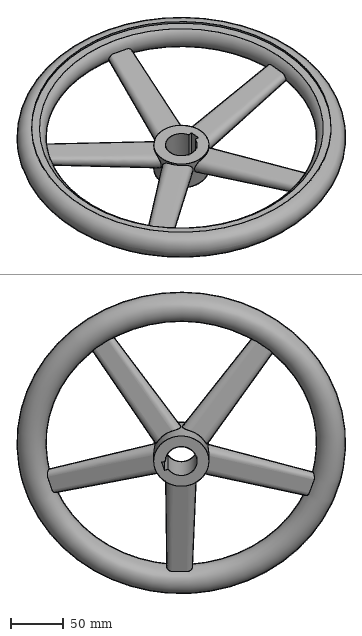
import cadquery as cq
import math

rim_radius = 157.5
rim_size = 28.0
shelf_depth = 2.2
rim_inner_radius = rim_radius - rim_size
rim_round = rim_size / 2

total_height = 56.0
hub_radius = 26.5
hub_height = 32.0
bore_radius = 15.0
keyway_width = 8.8
keyway_reach = 18.3

spoke_count = 5
spoke_flat_width = 14.5
hub_end_thickness = 15.5
rim_end_thickness = 10.0
hub_end_distance = 20.8
rim_end_distance = rim_inner_radius + 4.7
hub_end_height = 21.7
rim_end_height = 39.5

rim_center_radius = rim_radius - rim_round
rim_middle = total_height - rim_round


def make_rim():
    """Round-section ring with a flat shelf cut into the inner half of its top."""
    ring = (
        cq.Workplane("XZ")
        .center(rim_center_radius, rim_middle)
        .circle(rim_round)
        .revolve(360, (-rim_center_radius, 0, 0), (-rim_center_radius, 1, 0))
    )
    shelf = (
        cq.Workplane("XY")
        .workplane(offset=total_height - shelf_depth)
        .circle(rim_center_radius)
        .extrude(shelf_depth)
    )
    return ring.cut(shelf)


def make_spoke():
    """Spoke along +Y, lofted between two slot-shaped sections square to its axis."""
    run = rim_end_distance - hub_end_distance
    rise = rim_end_height - hub_end_height
    hub_end = cq.Plane(
        origin=(0, hub_end_distance, hub_end_height),
        xDir=(1, 0, 0),
        normal=(0, run, rise),
    )
    return (
        cq.Workplane(hub_end)
        .slot2D(spoke_flat_width + hub_end_thickness, hub_end_thickness)
        .workplane(offset=math.hypot(run, rise))
        .slot2D(spoke_flat_width + rim_end_thickness, rim_end_thickness)
        .loft(ruled=True)
    )


def make_bore():
    """Through bore with a keyway on the +Y side."""
    bore = cq.Workplane("XY").circle(bore_radius).extrude(total_height)
    keyway = (
        cq.Workplane("XY")
        .center(0, keyway_reach / 2)
        .rect(keyway_width, keyway_reach)
        .extrude(total_height)
    )
    return bore.union(keyway)


hub = cq.Workplane("XY").circle(hub_radius).extrude(hub_height)
wheel = make_rim().union(hub)
spoke = make_spoke()
for index in range(spoke_count):
    angle = index * 360 / spoke_count
    wheel = wheel.union(spoke.rotate((0, 0, 0), (0, 0, 1), angle))

result = wheel.cut(make_bore())